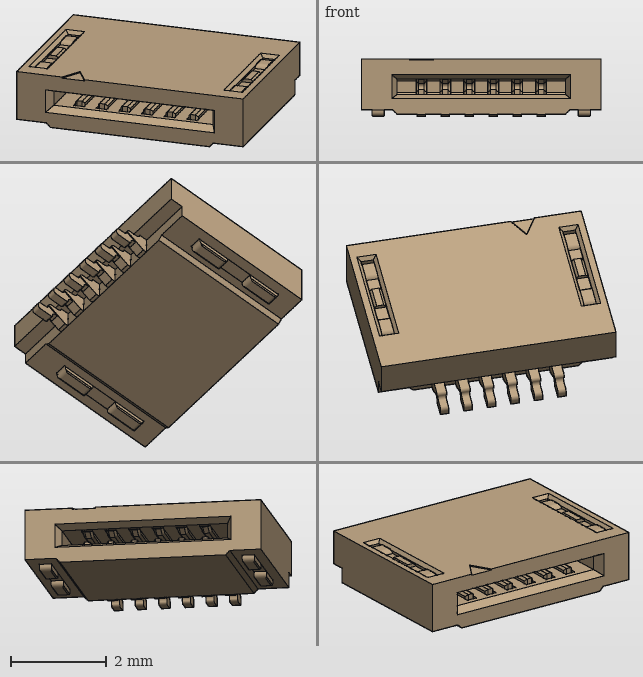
import cadquery as cq
import math

WIDTH = 5.0
DEPTH = 3.6
TOP_Z = 1.2
BASE_Z = 0.135
KEEL_Z = 0.045
KEEL_BOTTOM_WIDTH = 3.51
REAR_STEP_Y = 3.3
REAR_STEP_Z = 0.46

MOUTH_WIDTH = 3.73
MOUTH_HEIGHT = 0.5
MOUTH_MID_Z = 0.62
MOUTH_TAPER_DEPTH = 0.225
CAVITY_WIDTH = 3.51
CAVITY_HEIGHT = 0.315
CAVITY_END_Y = 1.5
CAVITY_END_BEVEL = 0.035

MARK_X = -1.25
MARK_SIDE = 0.5
MARK_DEPTH = 0.025

TERMINAL_COUNT = 6
PITCH = 0.5
TERMINAL_WIDTH = 0.21
FOOT_WIDTH = 0.175
FORK_TIP_Y = 0.4
FORK_REAR_Y = 3.48
FORK_BOTTOM_Z = 0.3
FORK_TOP_Z = 0.94
FORK_GAP = 0.125
FORK_ROOT_Y = 1.75
FORK_LEAD_DEPTH = 0.2
FORK_LEAD_HEIGHT = 0.09
FORK_BEVEL = 0.05
SLOT_FRONT_Y = 0.35
SLOT_SIDE_GAP = 0.01

TAIL_HEEL_Y = 3.38
TAIL_END_Y = 3.82
TAIL_TOP_Z = 0.375
TAIL_END_Z = 0.3
TAIL_NECK_RADIUS = 0.11
TAIL_END_RADIUS = 0.07

FOOT_END_Y = 4.1
FOOT_HEEL_Y = 3.705
FOOT_TOP_Z = 0.21
FOOT_BEND_RADIUS = 0.085
FOOT_ARCH_Z = 0.16
FOOT_ARCH_RADIUS = 0.09
FOOT_EDGE_RADIUS = 0.055

NAIL_X = 2.15
NAIL_MID_Y = 1.545
NAIL_WIDTH = 0.26
NAIL_LENGTH = 2.14
NAIL_TOP_Z = 1.07
PAD_LENGTH = 0.76
PAD_RADIUS = 0.09
PAD_SIDE_BEVEL = 0.025
BUMP_LENGTH = 0.495
BUMP_TOP_Z = 1.145
BUMP_RADIUS = 0.135
TOOTH_LENGTH = 0.5
TOOTH_TOP_Z = 1.145
TOOTH_BEVEL = 0.055
NAIL_END_GAP = 0.025
NAIL_SLOT_LENGTH = NAIL_LENGTH + 2 * NAIL_END_GAP
NAIL_SLOT_MARGIN = 0.075
NAIL_SLOT_RIM_DEPTH = 0.075


def side_prism(profile, width, mid_x):
    """Extrude a closed YZ profile evenly to both sides of mid_x."""
    return profile.extrude(width / 2, both=True).translate((mid_x, 0, 0))


def block(size_x, mid_x, y0, y1, z0, z1):
    """Box centred on mid_x that spans the given Y and Z ranges."""
    corner = (mid_x - size_x / 2, y0, z0)
    return cq.Workplane("XY").box(size_x, y1 - y0, z1 - z0, centered=False).translate(corner)


def on_diagonal(radius, center_y, center_z, sign_y, sign_z):
    """Middle point of a quarter arc, in the diagonal direction given by the signs."""
    reach = radius * math.sqrt(0.5)
    return (center_y + sign_y * reach, center_z + sign_z * reach)


def housing_shell():
    half = WIDTH / 2
    keel_half = KEEL_BOTTOM_WIDTH / 2
    keel_drop = BASE_Z - KEEL_Z
    outline = [
        (-half, TOP_Z),
        (half, TOP_Z),
        (half, BASE_Z),
        (keel_half + keel_drop, BASE_Z),
        (keel_half, KEEL_Z),
        (-keel_half, KEEL_Z),
        (-keel_half - keel_drop, BASE_Z),
        (-half, BASE_Z),
    ]
    shell = cq.Workplane("XZ").polyline(outline).close().extrude(-DEPTH)
    return shell.cut(block(WIDTH, 0, REAR_STEP_Y, DEPTH, 0, REAR_STEP_Z))


def card_opening():
    floor_z = MOUTH_MID_Z - CAVITY_HEIGHT / 2
    funnel = (
        cq.Workplane("XZ", origin=(0, 0, MOUTH_MID_Z))
        .rect(MOUTH_WIDTH, MOUTH_HEIGHT)
        .workplane(offset=-MOUTH_TAPER_DEPTH)
        .rect(CAVITY_WIDTH, CAVITY_HEIGHT)
        .loft(ruled=True)
    )
    cavity = block(CAVITY_WIDTH, 0, MOUTH_TAPER_DEPTH, CAVITY_END_Y, floor_z, floor_z + CAVITY_HEIGHT)
    cavity = cavity.faces(">Y").edges("|X").chamfer(CAVITY_END_BEVEL)
    return funnel.union(cavity)


def pin_mark():
    height = MARK_SIDE * math.sqrt(3) / 2
    corners = [(MARK_X - MARK_SIDE / 2, 0), (MARK_X + MARK_SIDE / 2, 0), (MARK_X, height)]
    return cq.Workplane("XY", origin=(0, 0, TOP_Z)).polyline(corners).close().extrude(-MARK_DEPTH)


def nail_slot(x):
    rim = (
        cq.Workplane("XY", origin=(x, NAIL_MID_Y, TOP_Z))
        .rect(NAIL_WIDTH + 2 * NAIL_SLOT_MARGIN, NAIL_SLOT_LENGTH + 2 * NAIL_SLOT_MARGIN)
        .workplane(offset=-NAIL_SLOT_RIM_DEPTH)
        .rect(NAIL_WIDTH, NAIL_SLOT_LENGTH)
        .loft(ruled=True)
    )
    front_y = NAIL_MID_Y - NAIL_SLOT_LENGTH / 2
    return rim.union(block(NAIL_WIDTH, x, front_y, front_y + NAIL_SLOT_LENGTH, 0, TOP_Z - NAIL_SLOT_RIM_DEPTH))


def terminal_slot(x):
    slot_width = TERMINAL_WIDTH + 2 * SLOT_SIDE_GAP
    return block(slot_width, x, SLOT_FRONT_Y, FORK_REAR_Y, FORK_BOTTOM_Z, FORK_TOP_Z)


def make_housing(terminal_xs, nail_xs):
    housing = housing_shell().cut(card_opening()).cut(pin_mark())
    for x in terminal_xs:
        housing = housing.cut(terminal_slot(x))
    for x in nail_xs:
        housing = housing.cut(nail_slot(x))
    return housing


def fork(x):
    """Two contact arms around a round-ended notch; the edges of notch and tips are bevelled."""
    lower_z = MOUTH_MID_Z - FORK_GAP / 2
    upper_z = MOUTH_MID_Z + FORK_GAP / 2
    profile = (
        cq.Workplane("YZ")
        .moveTo(FORK_REAR_Y, FORK_BOTTOM_Z)
        .lineTo(FORK_TIP_Y, FORK_BOTTOM_Z)
        .lineTo(FORK_TIP_Y, lower_z)
        .lineTo(FORK_ROOT_Y - FORK_GAP / 2, lower_z)
        .threePointArc((FORK_ROOT_Y, MOUTH_MID_Z), (FORK_ROOT_Y - FORK_GAP / 2, upper_z))
        .lineTo(FORK_TIP_Y + FORK_LEAD_DEPTH, upper_z)
        .lineTo(FORK_TIP_Y, upper_z + FORK_LEAD_HEIGHT)
        .lineTo(FORK_TIP_Y, FORK_TOP_Z)
        .lineTo(FORK_REAR_Y, FORK_TOP_Z)
        .close()
    )
    body = side_prism(profile, TERMINAL_WIDTH, 0)
    mouth_box = cq.selectors.BoxSelector(
        (-TERMINAL_WIDTH, 0, FORK_BOTTOM_Z), (TERMINAL_WIDTH, FORK_ROOT_Y + 0.05, FORK_TOP_Z)
    )
    for side in ("<X", ">X"):
        body = body.faces(side).edges(mouth_box).chamfer(FORK_BEVEL)
    return body.translate((x, 0, 0))


def tail(x):
    """Full-width tail below the rear step, with a sloped underside."""
    neck_y = FORK_REAR_Y + TAIL_NECK_RADIUS
    neck_z = TAIL_TOP_Z + TAIL_NECK_RADIUS
    end_y = TAIL_END_Y - TAIL_END_RADIUS
    end_z = TAIL_TOP_Z - TAIL_END_RADIUS
    profile = (
        cq.Workplane("YZ")
        .moveTo(REAR_STEP_Y, KEEL_Z)
        .lineTo(TAIL_HEEL_Y, KEEL_Z)
        .lineTo(TAIL_END_Y, TAIL_END_Z)
        .lineTo(TAIL_END_Y, end_z)
        .threePointArc(on_diagonal(TAIL_END_RADIUS, end_y, end_z, 1, 1), (end_y, TAIL_TOP_Z))
        .lineTo(neck_y, TAIL_TOP_Z)
        .threePointArc(on_diagonal(TAIL_NECK_RADIUS, neck_y, neck_z, -1, -1), (FORK_REAR_Y, neck_z))
        .lineTo(REAR_STEP_Y, neck_z)
        .close()
    )
    below_step = block(TERMINAL_WIDTH, x, REAR_STEP_Y, TAIL_END_Y, 0, REAR_STEP_Z)
    return side_prism(profile, TERMINAL_WIDTH, x).intersect(below_step)


def foot(x):
    """Narrow solder foot bent down from the end of the tail."""
    bend_y = TAIL_END_Y + FOOT_BEND_RADIUS
    bend_z = FOOT_TOP_Z + FOOT_BEND_RADIUS
    crest_y = FOOT_END_Y - FOOT_BEND_RADIUS
    crest_z = FOOT_TOP_Z - FOOT_BEND_RADIUS
    toe_y = FOOT_END_Y - FOOT_EDGE_RADIUS
    heel_y = FOOT_HEEL_Y + FOOT_EDGE_RADIUS
    arch_y = FOOT_HEEL_Y - FOOT_ARCH_RADIUS
    arch_z = FOOT_ARCH_Z - FOOT_ARCH_RADIUS
    slope = (TAIL_END_Y - TAIL_HEEL_Y) / (TAIL_END_Z - KEEL_Z)
    root_y = TAIL_HEEL_Y + (FOOT_ARCH_Z - KEEL_Z) * slope
    profile = (
        cq.Workplane("YZ")
        .moveTo(root_y, FOOT_ARCH_Z)
        .lineTo(TAIL_END_Y, TAIL_END_Z)
        .lineTo(TAIL_END_Y, bend_z)
        .threePointArc(on_diagonal(FOOT_BEND_RADIUS, bend_y, bend_z, -1, -1), (bend_y, FOOT_TOP_Z))
        .lineTo(crest_y, FOOT_TOP_Z)
        .threePointArc(on_diagonal(FOOT_BEND_RADIUS, crest_y, crest_z, 1, 1), (FOOT_END_Y, crest_z))
        .lineTo(FOOT_END_Y, FOOT_EDGE_RADIUS)
        .threePointArc(on_diagonal(FOOT_EDGE_RADIUS, toe_y, FOOT_EDGE_RADIUS, 1, -1), (toe_y, 0))
        .lineTo(heel_y, 0)
        .threePointArc(
            on_diagonal(FOOT_EDGE_RADIUS, heel_y, FOOT_EDGE_RADIUS, -1, -1),
            (FOOT_HEEL_Y, FOOT_EDGE_RADIUS),
        )
        .lineTo(FOOT_HEEL_Y, arch_z)
        .threePointArc(on_diagonal(FOOT_ARCH_RADIUS, arch_y, arch_z, 1, 1), (arch_y, FOOT_ARCH_Z))
        .close()
    )
    return side_prism(profile, FOOT_WIDTH, x)


def make_terminal(x):
    return fork(x).union(tail(x)).union(foot(x))


def nail_pad(x, front_y):
    blank = block(NAIL_WIDTH, x, front_y, front_y + PAD_LENGTH, 0, BUMP_TOP_Z - BUMP_RADIUS)
    rounded = blank.faces("<Z").edges("|X").fillet(PAD_RADIUS)
    bevelled = blank.faces("<Z").edges("|Y").chamfer(PAD_SIDE_BEVEL)
    return rounded.intersect(bevelled)


def nail_bump(x, front_y):
    bump = block(NAIL_WIDTH, x, front_y, front_y + BUMP_LENGTH, BASE_Z, BUMP_TOP_Z)
    return bump.faces(">Z").edges("|X").fillet(BUMP_RADIUS)


def nail_tooth(x):
    front_y = NAIL_MID_Y - TOOTH_LENGTH / 2
    tooth = block(NAIL_WIDTH, x, front_y, front_y + TOOTH_LENGTH, BASE_Z, TOOTH_TOP_Z)
    return tooth.faces(">Z").edges("|Y").chamfer(TOOTH_BEVEL)


def make_nail(x):
    front_y = NAIL_MID_Y - NAIL_LENGTH / 2
    rear_y = NAIL_MID_Y + NAIL_LENGTH / 2
    bar_front_y = front_y + BUMP_RADIUS
    bar_rear_y = rear_y - BUMP_RADIUS
    nail = block(NAIL_WIDTH, x, bar_front_y, bar_rear_y, BASE_Z, NAIL_TOP_Z).union(nail_tooth(x))
    for pad_y in (front_y, rear_y - PAD_LENGTH):
        nail = nail.union(nail_pad(x, pad_y))
    for bump_y in (front_y, rear_y - BUMP_LENGTH):
        nail = nail.union(nail_bump(x, bump_y))
    return nail


terminal_xs = [(i - (TERMINAL_COUNT - 1) / 2) * PITCH for i in range(TERMINAL_COUNT)]
nail_xs = [-NAIL_X, NAIL_X]

housing = make_housing(terminal_xs, nail_xs)
terminals = [make_terminal(x) for x in terminal_xs]
nails = [make_nail(x) for x in nail_xs]

result = cq.Compound.makeCompound(
    [housing.val()] + [terminal.val() for terminal in terminals] + [nail.val() for nail in nails]
)